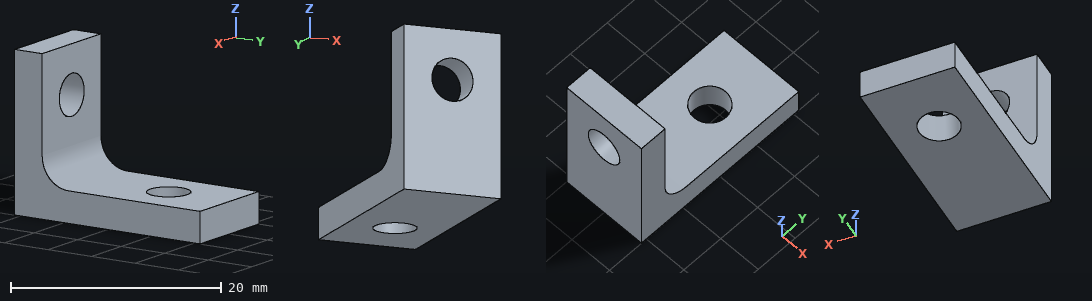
import cadquery as cq

width = 10.0
base_length = 21.35
height = 16.2
thickness = 3.2
inner_radius = 3.0
hole_diameter = 4.2
upright_hole_drop = 5.0
base_hole_setback = 7.0


def leg(length_y, length_z):
    """Rectangular leg centred on X, with its outer corner at Y = Z = 0."""
    return cq.Workplane("XY").box(width, length_y, length_z, centered=(True, False, False))


body = leg(base_length, thickness).union(leg(thickness, height))

inside_corner = cq.selectors.NearestToPointSelector((0, thickness, thickness))
body = body.edges("|X").edges(inside_corner).fillet(inner_radius)

base_hole = (
    cq.Workplane("XY")
    .center(0, base_length - base_hole_setback)
    .circle(hole_diameter / 2)
    .extrude(thickness)
)

upright_hole = (
    cq.Workplane("XZ")
    .center(0, height - upright_hole_drop)
    .circle(hole_diameter / 2)
    .extrude(-thickness)
)

result = body.cut(base_hole).cut(upright_hole)